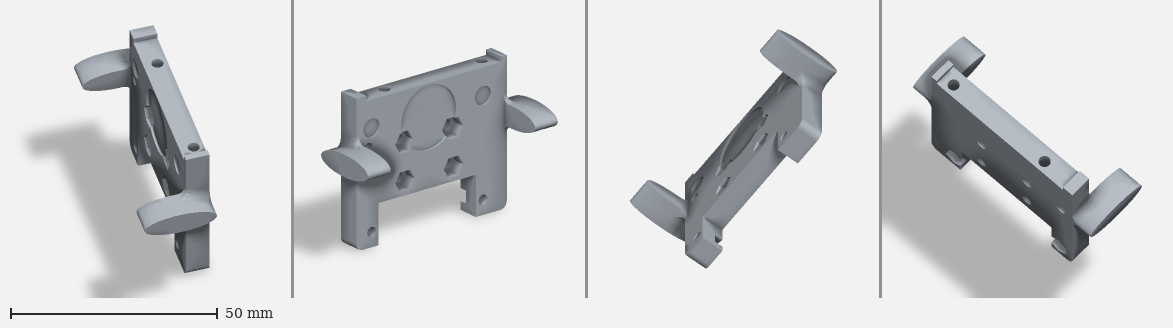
import cadquery as cq
import math


tolerance = 0.005

overall_length = 58.5
plate_width = 46.4
plate_thickness = 6.0
plate_height = 39.8
corner_radius = 2.0
top_notch_depth = 1.4
left_tab_width = 3.1
right_tab_width = 1.7
foot_height = 11.0
left_foot_width = 6.9
foot_gap = 29.95

wing_overhang = (overall_length - plate_width) / 2
wing_length_y = 18.25
wing_thickness = 5.9
wing_z = 24.75
wing_overlap = 0.95
wing_fillet = 2.0

gap_center_x = left_foot_width + foot_gap / 2
side_feature_spacing = 34.35
side_feature_x = [gap_center_x - side_feature_spacing / 2, gap_center_x + side_feature_spacing / 2]
foot_hole_z = 4.0
small_hole_diameter = 2.7
pilot_hole_x = 3.7
pilot_hole_z = 26.05
bolt_hole_diameter = 2.9
bolt_first_x = 15.0
bolt_spacing_x = 15.0
bolt_spacing_z = 10.0
nut_flats = 5.15
nut_corners = nut_flats / math.cos(math.pi / 6)
bolt_nut_depth = 3.0
foot_nut_depth = 2.2
recess_depth = 0.7
small_recess_diameter = 5.0
small_recess_z = 31.0
large_recess_diameter = 16.95
large_recess_x = 22.35
large_recess_z = 29.5
top_hole_first_x = 11.45
top_hole_spacing = 29.95
top_hole_y = 3.5
top_hole_depth = 10.0
drill_tip_angle = 118.0


def front_plane(y):
    """Sketch plane parallel to the front face; extruding goes toward +Y."""
    return cq.Workplane(cq.Plane(origin=(0, y, 0), xDir=(1, 0, 0), normal=(0, 1, 0)))


def front_point(x, z):
    """Point (x, z) of the part in the sketch coordinates of front_plane."""
    return (x, -z)


def front_box(x_start, x_end, z_start, z_end, depth):
    """Box reaching from the front face to the given depth."""
    return cq.Workplane("XY").box(
        x_end - x_start, depth, z_end - z_start, centered=False
    ).translate((x_start, 0, z_start))


def round_cut(diameter, points, depth):
    """Cylinders reaching from the front face to the given depth."""
    sketch_points = [front_point(x, z) for x, z in points]
    return front_plane(0).pushPoints(sketch_points).circle(diameter / 2).extrude(depth)


def hex_prism(x, z, y, depth, turn):
    """Nut pocket; a turn of 0 puts two corners along X, 90 puts them along Z."""
    prism = front_plane(y).polygon(6, nut_corners).extrude(depth)
    return prism.rotate((0, 0, 0), (0, 1, 0), turn).translate((x, 0, z))


def wing(x_start, x_end):
    """Elliptical bar along X whose rear tip touches the plane of the back face."""
    ellipse = cq.Workplane("YZ").ellipse(wing_length_y / 2, wing_thickness / 2)
    center_y = plate_thickness - wing_length_y / 2
    return ellipse.extrude(x_end - x_start).translate((x_start, center_y, wing_z))


def winged_plate():
    """Plate and both wings, with fillets where the wings meet the plate."""
    surplus = wing_length_y
    body = front_box(0, plate_width, 0, plate_height, plate_thickness + surplus)
    body = body.union(wing(-wing_overhang, wing_overlap))
    body = body.union(wing(plate_width - wing_overlap, plate_width + wing_overhang))

    def at_wing_root(edge):
        box = edge.BoundingBox()
        reach = wing_thickness / 2 + tolerance
        near_wing = abs(box.zmin - wing_z) < reach and abs(box.zmax - wing_z) < reach
        to_side = min(abs(box.xmin), abs(box.xmin - plate_width))
        on_side = box.xlen < tolerance and to_side < tolerance
        along_x = box.ylen < tolerance and box.zlen < tolerance
        on_front = along_x and abs(box.ymin) < tolerance
        return near_wing and (on_side or on_front)

    root_edges = [edge for edge in body.edges().vals() if at_wing_root(edge)]
    body = body.newObject(root_edges).fillet(wing_fillet)
    keep = cq.Workplane("XY").box(
        2 * overall_length, wing_length_y, plate_height, centered=(True, False, False)
    ).translate((0, plate_thickness - wing_length_y, 0))
    return body.intersect(keep)


def cut_outline(body):
    body = body.edges("|Y and <Z").edges("<X or >X").fillet(corner_radius)
    gap = front_box(left_foot_width, left_foot_width + foot_gap, 0, foot_height, plate_thickness)
    notch = front_box(
        left_tab_width, plate_width - right_tab_width,
        plate_height - top_notch_depth, plate_height, plate_thickness,
    )
    return body.cut(gap).cut(notch)


def cut_feet(body):
    points = [(x, foot_hole_z) for x in side_feature_x]
    body = body.cut(round_cut(small_hole_diameter, points, plate_thickness))
    for x, z in points:
        body = body.cut(hex_prism(x, z, plate_thickness - foot_nut_depth, foot_nut_depth, 90))
    return body


def cut_bolts(body):
    for x in (bolt_first_x, bolt_first_x + bolt_spacing_x):
        for z in (wing_z, wing_z - bolt_spacing_z):
            body = body.cut(round_cut(bolt_hole_diameter, [(x, z)], plate_thickness))
            body = body.cut(hex_prism(x, z, 0, bolt_nut_depth, 0))
    return body


def cut_front_recesses(body):
    small_points = [(x, small_recess_z) for x in side_feature_x]
    body = body.cut(round_cut(small_recess_diameter, small_points, recess_depth))
    body = body.cut(round_cut(large_recess_diameter, [(large_recess_x, large_recess_z)], recess_depth))
    return body.cut(round_cut(small_hole_diameter, [(pilot_hole_x, pilot_hole_z)], plate_thickness))


def cut_top_holes(body):
    """Blind drilled holes with conical bottoms."""
    radius = bolt_hole_diameter / 2
    tip = radius / math.tan(math.radians(drill_tip_angle / 2))
    profile = [(0, 0), (radius, 0), (radius, -top_hole_depth), (0, -top_hole_depth - tip)]
    drill = cq.Workplane("XZ").polyline(profile).close().revolve(360, (0, 0, 0), (0, 1, 0))
    rim_z = plate_height - top_notch_depth
    for x in (top_hole_first_x, top_hole_first_x + top_hole_spacing):
        body = body.cut(drill.translate((x, top_hole_y, rim_z)))
    return body


result = winged_plate()
result = cut_outline(result)
result = cut_feet(result)
result = cut_bolts(result)
result = cut_front_recesses(result)
result = cut_top_holes(result)